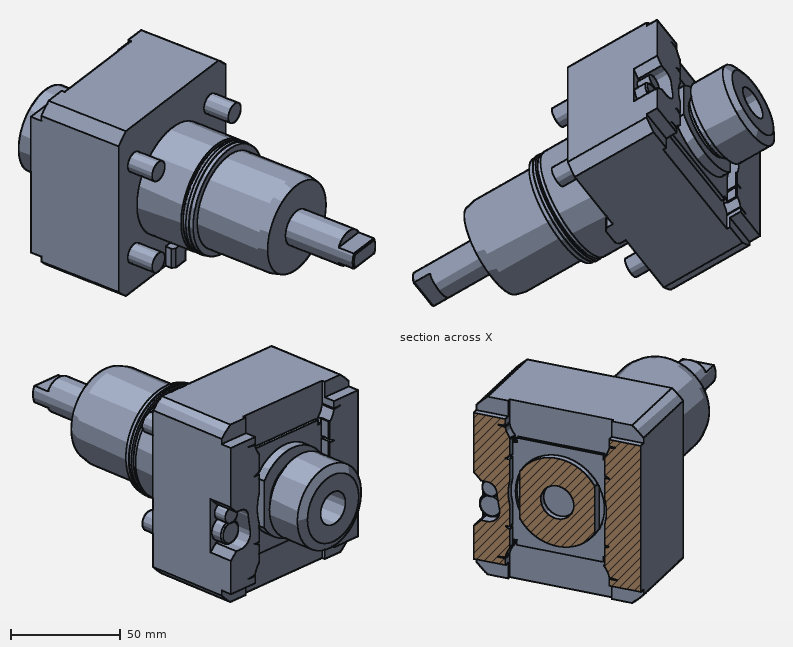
import cadquery as cq


total_length = 182.0
nut_back = 20.0
pad_front = 24.4
collar_front = 25.3
body_front = 30.2
channel_floor = 31.8
front_plate_back = 37.3
body_back = 73.7
flange_back = 105.0
barrel_back = 143.7
tang_front = 172.9

body_width = 84.0
body_height = 90.0
body_corner_radius = 57.9

pad_height = 74.2
channel_half_width = 26.0
pad_inner_half_width = 23.3
pad_relief_depth = 0.5
pad_lip = 1.0
shoulder_top = 33.5
shoulder_bottom = 27.5
shoulder_radius = 11.0
undercut_half_width = 30.2
undercut_depth = 0.5
notch_height = 17.1
notch_size = (3.0, 1.5)
pad_bore_radius = 24.5

face_width = 43.3
face_height = 54.2
face_side_height = 49.5

nut_radius = 21.1
nut_chamfer = (2.4, 4.2)
nut_bore_radius = 8.2
neck_radius = 16.2
inner_neck_front = 23.8
inner_neck_radius = 15.1
collar_radius = 22.4
collar_flats = 37.8

flange_radius = 27.7
flange_rear_land_radius = 27.3
ring_groove = (98.5, 101.2)
ring_groove_radius = 26.0
ring_section_radius = 1.0
flange_rear_land_front = 102.8
barrel_radius = 24.0
barrel_taper_length = 4.7
barrel_end_radius = 23.0
shaft_radius = 9.0
tang_thickness = 8.4
tang_chamfer = 0.5

screw_diameter = 10.0
screw_end = 87.3
screw_spacing = (59.7, 49.9)
key_end = 78.5
key_height = 10.5
key_width = 10.5
key_chamfer = 1.5

pocket_y = 35.3
tube_z = -1.5
tube_radius = 4.0
tube_front = 30.5
tube_end = 74.2
tube_clearance = 4.7
plug_z = -10.4
plug_front = 31.0
plug_radius = 5.8
plug_chamfer = 0.7
plug_clearance = 6.2
mouth_flare = 3.6


def block(x_start, x_end, width, height, y=0.0, z=0.0):
    """Box between two X stations, centred on (y, z)."""
    length = x_end - x_start
    return cq.Workplane("XY").box(length, width, height).translate((x_start + length / 2, y, z))


def cylinder(x_start, x_end, radius, y=0.0, z=0.0):
    """Cylinder along X between two stations, centred on (y, z)."""
    sketch = cq.Workplane("YZ", origin=(x_start, 0, 0)).center(y, z).circle(radius)
    return sketch.extrude(x_end - x_start)


def prism(points, x_start, x_end):
    """Straight-sided prism along X from (y, z) points."""
    return cq.Workplane("YZ", origin=(x_start, 0, 0)).polyline(points).close().extrude(x_end - x_start)


def four_way(shape):
    """The shape with its mirror images across the XZ and XY planes."""
    pair = shape.union(shape.mirror("XZ"))
    return pair.union(pair.mirror("XY"))


def make_housing():
    housing = block(body_front, body_back, body_width, body_height)
    housing = housing.union(block(pad_front, body_front, body_width, pad_height))
    return housing.intersect(cylinder(pad_front, body_back, body_corner_radius))


def make_channel():
    """Space between the pads: wide at top and bottom, narrow in the middle."""
    depth = channel_floor - pad_front
    channel = block(pad_front, channel_floor, 2 * pad_inner_half_width, body_height)

    relief_width = 2 * (pad_inner_half_width + pad_relief_depth)
    channel = channel.union(block(pad_front + pad_lip, body_front, relief_width, 2 * shoulder_bottom))

    shoulder = (
        cq.Workplane("YZ", origin=(pad_front, 0, 0))
        .moveTo(0, shoulder_bottom)
        .lineTo(pad_inner_half_width, shoulder_bottom)
        .radiusArc((channel_half_width, shoulder_top - undercut_depth), -shoulder_radius)
        .lineTo(undercut_half_width, shoulder_top)
        .lineTo(channel_half_width, shoulder_top)
        .lineTo(channel_half_width, body_height / 2)
        .lineTo(0, body_height / 2)
        .close()
        .extrude(depth)
    )
    notch = prism(
        [
            (0, notch_height),
            (pad_inner_half_width + notch_size[0], notch_height),
            (pad_inner_half_width, notch_height + notch_size[1]),
            (0, notch_height + notch_size[1]),
        ],
        pad_front,
        body_front,
    )
    channel = channel.union(four_way(shoulder)).union(four_way(notch))
    channel = channel.union(cylinder(pad_front, body_front, pad_bore_radius))

    raised_face = block(body_front, channel_floor, face_width, face_height)
    raised_sides = block(body_front, channel_floor, 2 * pad_inner_half_width, face_side_height)
    face_recess = cylinder(body_front, channel_floor, collar_radius)
    return channel.cut(raised_face.union(raised_sides).cut(face_recess))


def make_coolant_pocket():
    """Pocket around the tube and plug, through the front plate and flaring out to the side."""
    side = body_width / 2
    pocket_top = tube_z + tube_clearance
    pocket_bottom = plug_z - plug_clearance
    pocket = cylinder(pad_front, front_plate_back, tube_clearance, pocket_y, tube_z)
    pocket = pocket.union(cylinder(pad_front, front_plate_back, plug_clearance, pocket_y, plug_z))
    mouth = prism(
        [
            (pocket_y, pocket_top),
            (side - mouth_flare, pocket_top),
            (side, pocket_top + mouth_flare),
            (side, pocket_bottom - mouth_flare),
            (side - mouth_flare, pocket_bottom),
            (pocket_y, pocket_bottom),
            (pocket_y - plug_clearance, plug_z),
            (pocket_y - tube_clearance, tube_z),
        ],
        pad_front,
        front_plate_back,
    )
    return pocket.union(mouth)


def make_nose():
    """Clamping nut, neck and collar."""
    nose = (
        cq.Workplane("XY")
        .polyline(
            [
                (0, 0),
                (0, nut_radius - nut_chamfer[1]),
                (nut_chamfer[0], nut_radius),
                (nut_back, nut_radius),
                (nut_back, neck_radius),
                (inner_neck_front, neck_radius),
                (inner_neck_front, inner_neck_radius),
                (channel_floor, inner_neck_radius),
                (channel_floor, 0),
            ]
        )
        .close()
        .revolve(360, (0, 0, 0), (1, 0, 0))
    )
    collar = cylinder(collar_front, channel_floor, collar_radius)
    collar = collar.intersect(block(collar_front, channel_floor, collar_flats, 2 * collar_radius))
    return nose.union(collar)


def make_shank():
    """Flange and tapered barrel, with the sealing ring in its groove."""
    groove_start, groove_end = ring_groove
    shank = (
        cq.Workplane("XY")
        .polyline(
            [
                (body_back, 0),
                (body_back, flange_radius),
                (groove_start, flange_radius),
                (groove_start, ring_groove_radius),
                (groove_end, ring_groove_radius),
                (groove_end, flange_radius),
                (flange_rear_land_front, flange_radius),
                (flange_rear_land_front, flange_rear_land_radius),
                (flange_back, flange_rear_land_radius),
                (flange_back, barrel_radius),
                (barrel_back - barrel_taper_length, barrel_radius),
                (barrel_back, barrel_end_radius),
                (barrel_back, 0),
            ]
        )
        .close()
        .revolve(360, (0, 0, 0), (1, 0, 0))
    )
    ring_x = (groove_start + groove_end) / 2
    ring_centre_radius = flange_rear_land_radius - ring_section_radius
    ring = (
        cq.Workplane("XY")
        .center(ring_x, ring_centre_radius)
        .circle(ring_section_radius)
        .revolve(360, (0, -ring_centre_radius, 0), (1, -ring_centre_radius, 0))
    )
    return shank.union(ring)


def make_drive_shaft():
    """Round shaft ending in a flat tang."""
    shaft = cylinder(barrel_back, total_length, shaft_radius).faces(">X").chamfer(tang_chamfer)
    tang = block(tang_front, total_length, 2 * shaft_radius, tang_thickness)
    tang = tang.faces(">X").edges("|Y").chamfer(tang_chamfer)
    round_part = block(barrel_back, tang_front, 2 * shaft_radius, 2 * shaft_radius)
    return shaft.intersect(round_part.union(tang))


def make_key():
    key_z = (key_height - body_height) / 2
    key = block(body_back, key_end, key_width, key_height, z=key_z)
    return key.faces(">X").edges("|Z").chamfer(key_chamfer)


def make_coolant_parts():
    """Coolant tube running through the block and the plug beside it."""
    tube = cylinder(tube_front, tube_end, tube_radius, pocket_y, tube_z)
    plug = cylinder(plug_front, front_plate_back, plug_radius, pocket_y, plug_z)
    return tube.union(plug.faces("<X").chamfer(plug_chamfer))


def make_screws():
    screw_y, screw_z = (spacing / 2 for spacing in screw_spacing)
    return four_way(cylinder(body_back, screw_end, screw_diameter / 2, screw_y, screw_z))


result = make_housing().cut(make_channel()).cut(make_coolant_pocket())
added_parts = (
    make_nose(),
    make_shank(),
    make_drive_shaft(),
    make_key(),
    make_screws(),
    make_coolant_parts(),
)
for added_part in added_parts:
    result = result.union(added_part)

result = result.cut(cylinder(0, body_front, nut_bore_radius)).solids()